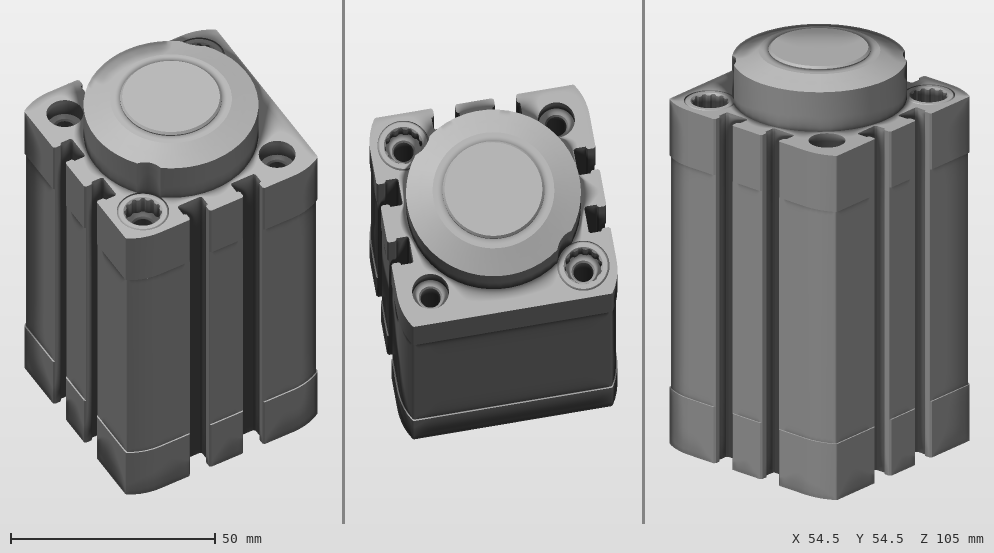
import cadquery as cq
import math

total_height = 105.0
width = 54.5
housing_height = 91.6
cap_height = 14.9
barrel_inset = 0.37

flat_half = 18.9
side_arc_radius = 15.3
corner_round = 0.6

slot_offset = 7.6
slot_depth = 5.5
lip_depth = 2.3
lip_width = 5.5
slot_width = 6.9
slot_bevel = 0.4

collar_diameter = 42.8
collar_flat_diameter = 29.8
collar_top = 104.2
collar_edge_height = 102.1
rod_diameter = 25.0
rod_chamfer = 0.5

hole_offset = 19.0
bore_diameter = 4.9
bore_chamfer = 0.4
counterbore_diameter = 9.0
hole_depth = 4.9

ring_diameter = 12.8
ring_chamfer = 0.47
spline_teeth = 12
spline_land_share = 0.3
spline_inner_diameter = 8.6
spline_outer_diameter = 9.2
spline_rim_diameter = 9.7

half_width = width / 2
upper_cap_bottom = housing_height - cap_height


def profile_prism(inset, bottom, height):
    """Prism with flat faces and large arcs that run into the four corners."""
    half = half_width - inset
    arc_height = half - flat_half
    radius = side_arc_radius
    angle = math.asin(arc_height / radius)

    def arc_point(turn, x_sign, y_sign):
        x = half - radius * (1 - math.cos(turn))
        y = flat_half + radius * math.sin(turn)
        return (x_sign * x, y_sign * y)

    return (
        cq.Workplane("XY")
        .workplane(offset=bottom)
        .moveTo(half, -flat_half)
        .lineTo(half, flat_half)
        .threePointArc(arc_point(angle / 2, 1, 1), arc_point(angle, 1, 1))
        .lineTo(*arc_point(angle, -1, 1))
        .threePointArc(arc_point(angle / 2, -1, 1), (-half, flat_half))
        .lineTo(-half, -flat_half)
        .threePointArc(arc_point(angle / 2, -1, -1), arc_point(angle, -1, -1))
        .lineTo(*arc_point(angle, 1, -1))
        .threePointArc(arc_point(angle / 2, 1, -1), (half, -flat_half))
        .close()
        .extrude(height)
        .edges("|Z and (<Y or >Y)")
        .fillet(corner_round)
    )


def slot_cutter(offset, turn):
    """T-slot in the -Y side at x = offset, turned about Z onto its own side."""
    lip = lip_width / 2
    wide = slot_width / 2
    right_side = [
        (lip + slot_bevel, 0),
        (lip, slot_bevel),
        (lip, lip_depth - slot_bevel),
        (lip + slot_bevel, lip_depth),
        (wide, lip_depth),
        (wide, slot_depth - slot_bevel),
        (wide - slot_bevel, slot_depth),
    ]
    left_side = [(-x, y) for x, y in reversed(right_side)]
    return (
        cq.Workplane("XY")
        .polyline(right_side + left_side)
        .close()
        .extrude(housing_height)
        .translate((offset, -half_width, 0))
        .rotate((0, 0, 0), (0, 0, 1), turn)
    )


def make_collar():
    """Round collar whose top edge slopes up to a flat ring."""
    return (
        cq.Workplane("XZ")
        .moveTo(0, housing_height)
        .lineTo(collar_diameter / 2, housing_height)
        .lineTo(collar_diameter / 2, collar_edge_height)
        .lineTo(collar_flat_diameter / 2, collar_top)
        .lineTo(0, collar_top)
        .close()
        .revolve(360, (0, 0, 0), (0, 1, 0))
    )


def cylinder(diameter, bottom, top):
    """Upright cylinder on the Z axis."""
    return cq.Workplane("XY").workplane(offset=bottom).circle(diameter / 2).extrude(top - bottom)


def cone(bottom_diameter, top_diameter, bottom, top):
    """Upright truncated cone on the Z axis."""
    solid = cq.Solid.makeCone(bottom_diameter / 2, top_diameter / 2, top - bottom, cq.Vector(0, 0, bottom))
    return cq.Workplane(solid)


def through_bore(floor):
    """Through bore with a chamfered mouth in a floor at the given height."""
    mouth_diameter = bore_diameter + 2 * bore_chamfer
    mouth = cone(bore_diameter, mouth_diameter, floor - bore_chamfer, floor)
    return cylinder(bore_diameter, 0, floor).union(mouth)


def counterbored_hole():
    """Through bore below a plain counterbore."""
    floor = housing_height - hole_depth
    return through_bore(floor).union(cylinder(counterbore_diameter, floor, housing_height))


def spline_socket(floor):
    """Socket whose wall alternates between arcs on an inner and an outer circle."""
    pitch = 2 * math.pi / spline_teeth
    land = pitch * spline_land_share
    inner = spline_inner_diameter
    outer = spline_outer_diameter

    def point(diameter, angle):
        return (diameter / 2 * math.cos(angle), diameter / 2 * math.sin(angle))

    outline = cq.Workplane("XY").workplane(offset=floor).moveTo(*point(outer, -land / 2))
    for tooth in range(spline_teeth):
        groove = tooth * pitch
        crest = groove + pitch / 2
        next_groove = groove + pitch
        outline = (
            outline
            .threePointArc(point(outer, groove), point(outer, groove + land / 2))
            .lineTo(*point(inner, crest - land / 2))
            .threePointArc(point(inner, crest), point(inner, crest + land / 2))
        )
        if tooth < spline_teeth - 1:
            outline = outline.lineTo(*point(outer, next_groove - land / 2))
    return outline.close().extrude(housing_height - floor)


def splined_hole():
    """Splined socket with bevelled rims, and the space above it that cuts into the collar."""
    floor = housing_height - hole_depth
    bevel_bottom = housing_height - ring_chamfer
    rim_depth = (spline_rim_diameter - spline_inner_diameter) / 2
    ring = cone(ring_diameter, ring_diameter - 2 * ring_chamfer, bevel_bottom, housing_height)
    groove = cylinder(ring_diameter, bevel_bottom, housing_height).cut(ring)
    rim = cone(spline_inner_diameter, spline_rim_diameter, housing_height - rim_depth, housing_height)
    clearance = cylinder(ring_diameter, housing_height, total_height)
    return through_bore(floor).union(spline_socket(floor)).union(rim).union(groove).union(clearance)


def make_rod():
    """Rod that fills the bore of the collar and the upper cap."""
    rod = cylinder(rod_diameter, upper_cap_bottom, total_height)
    return rod.faces(">Z").chamfer(rod_chamfer)


def make_housing():
    """Barrel between two end caps, with the collar, slots, corner holes and rod bore."""
    barrel_height = upper_cap_bottom - cap_height
    housing = (
        profile_prism(0, 0, cap_height)
        .union(profile_prism(barrel_inset, cap_height, barrel_height))
        .union(profile_prism(0, upper_cap_bottom, cap_height))
        .union(make_collar())
    )
    for turn in (0, 90, -90):
        for offset in (-slot_offset, slot_offset):
            housing = housing.cut(slot_cutter(offset, turn))
    for side in (-1, 1):
        housing = housing.cut(counterbored_hole().translate((side * hole_offset, side * hole_offset, 0)))
        housing = housing.cut(splined_hole().translate((side * hole_offset, -side * hole_offset, 0)))
    return housing.cut(cylinder(rod_diameter, upper_cap_bottom, total_height))


housing = make_housing()
rod = make_rod()
result = cq.Compound.makeCompound([housing.val(), rod.val()])